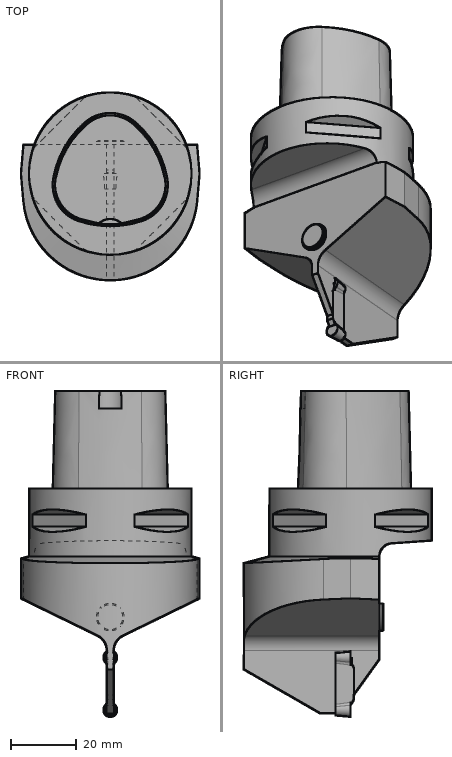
import cadquery as cq
import math


shank_length = 30.0
shank_tip_reach = 18.65
shank_flat_reach = 16.2
lobe_radius = 11.75
shank_taper = math.degrees(math.atan(1 / 40))
notch_radius = 5.0
notch_depth = 5.4
notch_inner_y = -13.97

collar_radius = 25.0
collar_bottom_z = -20.92
groove_count = 4
groove_center_z = -9.95
groove_floor_reach = 22.15
groove_floor_height = 3.7
groove_flare = 1.6

head_half_width = 27.515
head_front_y = -32.85
head_back_y = 8.9
head_side_angle = 5.0
shoulder_angle = 15.0
flank_angle = 26.0

undercut_back_z = -16.1
undercut_slope = 4.0
undercut_fillet = 4.0

blade_width = 2.2
blade_root_z = -49.85
blade_root_radius = 5.0
blade_back_z = -52.6
blade_front_z = -55.7
blade_bottom_z = -69.2
blade_toe_y = -9.37
jaw_tip_z = -63.5

screw_diameter = 8.5
screw_height = 1.3
screw_chamfer = 0.4
screw_z = -39.6

insert_tip_z = -70.3
insert_nose_radius = 2.1
insert_seat_y = -4.68
insert_back_y = 1.06
insert_center_z = -60.1
insert_clearance = 5.0
insert_flat_half = 4.9
insert_ramp_half = 6.7
nose_fillet = 1.2
relief_width = 0.4
relief_top_z = -52.2
relief_bottom_z = -54.2

overshoot = 5.0


def polar(radius, degrees):
    angle = math.radians(degrees)
    return radius * math.cos(angle), radius * math.sin(angle)


def make_shank():
    lobe_center_reach = shank_tip_reach - lobe_radius
    inner_gap = shank_flat_reach - lobe_radius
    flat_center_reach = (lobe_center_reach**2 - inner_gap**2) / (2 * inner_gap - lobe_center_reach)
    lobe_x, lobe_y = polar(lobe_center_reach, -30)
    toward = math.atan2(lobe_y - flat_center_reach, lobe_x)
    tangent_x = lobe_x + lobe_radius * math.cos(toward)
    tangent_y = lobe_y + lobe_radius * math.sin(toward)
    tangent_reach = math.hypot(tangent_x, tangent_y)
    tangent_angle = math.degrees(math.atan2(tangent_y, tangent_x))

    outline = cq.Workplane("XY").moveTo(*polar(tangent_reach, -180 - tangent_angle))
    for turn in (0, 120, 240):
        outline = outline.threePointArc(
            polar(shank_flat_reach, turn - 90), polar(tangent_reach, turn + tangent_angle)
        ).threePointArc(
            polar(shank_tip_reach, turn - 30), polar(tangent_reach, turn - 60 - tangent_angle)
        )
    shank = outline.close().extrude(shank_length, taper=shank_taper)
    notch = (
        cq.Workplane("XY", origin=(0, notch_inner_y - notch_radius, shank_length - notch_depth))
        .circle(notch_radius)
        .extrude(notch_depth + overshoot)
    )
    return shank.cut(notch)


def make_collar():
    collar = cq.Workplane("XY").circle(collar_radius).extrude(collar_bottom_z)
    groove_depth = collar_radius - groove_floor_reach
    half_floor = groove_floor_height / 2
    groove = (
        cq.Workplane("XZ", origin=(0, 0, groove_center_z))
        .moveTo(groove_floor_reach, -half_floor)
        .lineTo(collar_radius, -half_floor - groove_flare)
        .lineTo(collar_radius + groove_depth, -half_floor - groove_flare)
        .lineTo(collar_radius + groove_depth, half_floor + groove_flare)
        .lineTo(collar_radius, half_floor + groove_flare)
        .lineTo(groove_floor_reach, half_floor)
        .close()
        .extrude(collar_radius, both=True)
    )
    spacing = 360 / groove_count
    for index in range(groove_count):
        turned = groove.rotate((0, 0, 0), (0, 0, 1), spacing * (index + 0.5))
        collar = collar.cut(turned)
    return collar


def head_plan():
    """Rounded front with sides that widen to Y = 0 and then narrow towards the back."""
    angle = math.radians(head_side_angle)
    radius = (head_half_width * math.cos(angle) + head_front_y * math.sin(angle)) / (1 - math.sin(angle))
    center_y = head_front_y + radius
    tangent_x = radius * math.cos(angle)
    tangent_y = center_y - radius * math.sin(angle)
    back_half_width = head_half_width - head_back_y * math.tan(angle)
    return (
        cq.Workplane("XY", origin=(0, 0, collar_bottom_z))
        .moveTo(-back_half_width, head_back_y)
        .lineTo(-head_half_width, 0)
        .lineTo(-tangent_x, tangent_y)
        .threePointArc((0, head_front_y), (tangent_x, tangent_y))
        .lineTo(head_half_width, 0)
        .lineTo(back_half_width, head_back_y)
        .close()
        .extrude(blade_bottom_z - collar_bottom_z)
    )


def shoulder_cone():
    """Solid of revolution whose top is the conical shoulder of the head."""
    reach = collar_radius - head_front_y
    rim_z = collar_bottom_z - (reach - collar_radius) * math.tan(math.radians(shoulder_angle))
    return (
        cq.Workplane("XZ")
        .moveTo(0, collar_bottom_z)
        .lineTo(collar_radius, collar_bottom_z)
        .lineTo(reach, rim_z)
        .lineTo(reach, blade_bottom_z)
        .lineTo(0, blade_bottom_z)
        .close()
        .revolve(360, (0, 0, 0), (0, 1, 0))
    )


def head_front_profile():
    """Head flanks that blend into the thin blade, extruded along Y."""
    angle = math.radians(flank_angle)
    half_blade = blade_width / 2
    arc_center_x = half_blade + blade_root_radius
    middle = math.radians((90 + flank_angle + 180) / 2)
    arc_start = (
        arc_center_x - blade_root_radius * math.sin(angle),
        blade_root_z + blade_root_radius * math.cos(angle),
    )
    arc_middle = (
        arc_center_x + blade_root_radius * math.cos(middle),
        blade_root_z + blade_root_radius * math.sin(middle),
    )
    flank_top_z = arc_start[1] + (head_half_width - arc_start[0]) * math.tan(angle)
    half = (
        cq.Workplane("XZ")
        .moveTo(0, collar_bottom_z)
        .lineTo(head_half_width, collar_bottom_z)
        .lineTo(head_half_width, flank_top_z)
        .lineTo(*arc_start)
        .threePointArc(arc_middle, (half_blade, blade_root_z))
        .lineTo(half_blade, blade_bottom_z)
        .lineTo(0, blade_bottom_z)
        .close()
        .extrude(-head_front_y, both=True)
    )
    return half.union(half.mirror("YZ"))


def holder_side_profile():
    """Side outline of collar, head and blade, extruded along X."""
    run = collar_radius - head_back_y
    corner_z = undercut_back_z - run * math.tan(math.radians(undercut_slope))
    outline = (
        cq.Workplane("YZ")
        .moveTo(collar_radius, 0)
        .lineTo(collar_radius, undercut_back_z)
        .lineTo(head_back_y, corner_z)
        .lineTo(head_back_y, blade_back_z)
        .lineTo(insert_back_y, jaw_tip_z)
        .lineTo(insert_seat_y, jaw_tip_z)
        .lineTo(insert_seat_y, blade_bottom_z)
        .lineTo(blade_toe_y, blade_bottom_z)
        .lineTo(head_front_y, blade_front_z)
        .lineTo(head_front_y, 0)
        .close()
        .extrude(head_half_width, both=True)
    )
    corner = cq.selectors.NearestToPointSelector((0, head_back_y, corner_z))
    return outline.edges(corner).fillet(undercut_fillet)


def make_screw_head():
    return (
        cq.Workplane("XZ", origin=(0, head_back_y, screw_z))
        .circle(screw_diameter / 2)
        .extrude(-screw_height)
        .faces(">Y")
        .chamfer(screw_chamfer)
    )


def insert_nose(center_z):
    """Round cutting end that narrows from the cutting face at Y = 0 down to the seat."""
    seat_radius = insert_nose_radius + insert_seat_y * math.tan(math.radians(insert_clearance))
    return (
        cq.Workplane("XZ", origin=(0, 0, center_z))
        .circle(insert_nose_radius)
        .workplane(offset=-insert_seat_y)
        .circle(seat_radius)
        .loft()
    )


def make_insert():
    nose_offset = insert_center_z - insert_tip_z - insert_nose_radius
    waist = (
        cq.Workplane("YZ", origin=(0, 0, insert_center_z))
        .moveTo(insert_seat_y, -nose_offset)
        .lineTo(0, -nose_offset)
        .lineTo(0, -insert_ramp_half)
        .lineTo(insert_back_y, -insert_flat_half)
        .lineTo(insert_back_y, insert_flat_half)
        .lineTo(0, insert_ramp_half)
        .lineTo(0, nose_offset)
        .lineTo(insert_seat_y, nose_offset)
        .close()
        .extrude(blade_width / 2, both=True)
    )
    insert = waist
    for side in (-1, 1):
        insert = insert.union(insert_nose(insert_center_z + side * nose_offset))
    half_blade = blade_width / 2
    corner_offset = nose_offset - math.sqrt(insert_nose_radius**2 - half_blade**2)
    for side_x in (-1, 1):
        for side_z in (-1, 1):
            corner = (side_x * half_blade, insert_seat_y / 2, insert_center_z + side_z * corner_offset)
            insert = insert.edges(cq.selectors.NearestToPointSelector(corner)).fillet(nose_fillet)
    return insert


def jaw_relief():
    return cq.Workplane("XY", origin=(0, 0, relief_bottom_z)).box(
        blade_width, relief_width, relief_top_z - relief_bottom_z, centered=(True, False, False)
    )


def make_holder(insert):
    head = head_plan().intersect(shoulder_cone()).intersect(head_front_profile())
    lower = make_collar().union(head).intersect(holder_side_profile())
    holder = lower.union(make_shank()).union(make_screw_head())
    return holder.cut(insert).cut(jaw_relief())


insert = make_insert()
holder = make_holder(insert)

result = cq.Compound.makeCompound([holder.solids().val(), insert.solids().val()])